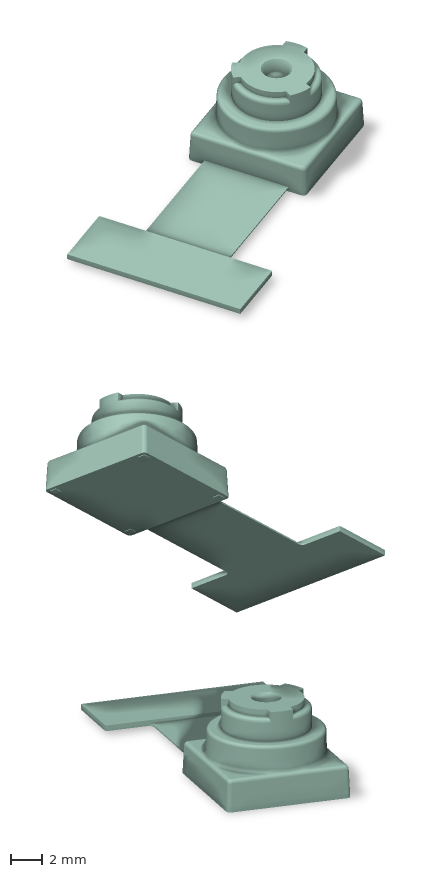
import cadquery as cq
import math


total_length = 21.5
total_height = 6.02
square_side = 8.47
corner_radius = 0.28

selection_margin = 0.02

foot_height = 0.05
foot_width = 0.52
foot_centre = 3.72
base_thickness = 0.24

flex_bottom = foot_height + base_thickness
flex_thickness = 0.1
flex_top = flex_bottom + flex_thickness
ribbon_width = 6.06
ribbon_fillet = 0.35
tail_width = 12.5
tail_length = 4.5
stiffener_thickness = 0.28
tail_end = square_side / 2 - total_length
tail_start = tail_end + tail_length
tail_centre = (tail_end + tail_start) / 2

housing_draft = 2.5
shoulder_height = 2.21
shoulder_fillet = 0.25
collar_bottom_radius = 3.91
collar_top_radius = 3.85
collar_height = 4.02
collar_top_fillet = 0.24
collar_base_fillet = 0.25

barrel_radius = 2.92
barrel_fillet = 0.25
notch_floor = 5.55
notch_inner_radius = 2.45
tab_width = 1.55
tab_count = 3
aperture_top_radius = 1.0
aperture_bottom_radius = 0.57
aperture_depth = 0.65
dome_height = 0.17
dome_radius = (aperture_bottom_radius**2 + dome_height**2) / (2 * dome_height)


def rounded_square(thickness, bottom):
    """Square plate with rounded corners, as large as the foot of the housing."""
    plate = cq.Workplane("XY").workplane(offset=bottom).rect(square_side, square_side)
    return plate.extrude(thickness).edges("|Z").fillet(corner_radius)


def make_base():
    """Plate under the flexible circuit, standing on four small feet."""
    feet = (
        cq.Workplane("XY")
        .rect(2 * foot_centre, 2 * foot_centre, forConstruction=True)
        .vertices()
        .rect(foot_width, foot_width)
        .extrude(foot_height)
    )
    return rounded_square(base_thickness, foot_height).union(feet)


def make_flex():
    """Thin circuit: square head, narrow ribbon and wide tail."""
    layer = cq.Workplane("XY").workplane(offset=flex_bottom)
    tail = layer.center(0, tail_centre).rect(tail_width, tail_length).extrude(flex_thickness)
    ribbon = layer.center(0, tail_start / 2).rect(ribbon_width, -tail_start).extrude(flex_thickness)
    strip = tail.union(ribbon)
    reach = ribbon_width / 2 + selection_margin
    inner_corners = cq.selectors.BoxSelector(
        (-reach, tail_start - selection_margin, flex_bottom),
        (reach, tail_start + selection_margin, flex_top),
    )
    strip = strip.edges("|Z").edges(inner_corners).fillet(ribbon_fillet)
    return strip.union(rounded_square(flex_thickness, flex_bottom))


def make_stiffener():
    """Plate on top of the tail of the circuit."""
    layer = cq.Workplane("XY").workplane(offset=flex_top)
    return layer.center(0, tail_centre).rect(tail_width, tail_length).extrude(stiffener_thickness)


def make_housing():
    """Drafted square box with a slightly conical collar blended onto it."""
    box = (
        cq.Workplane("XY")
        .workplane(offset=flex_top)
        .rect(square_side, square_side)
        .extrude(shoulder_height - flex_top, taper=housing_draft)
        .edges("not(|X or |Y)")
        .fillet(corner_radius)
        .faces(">Z")
        .edges()
        .fillet(shoulder_fillet)
    )
    root_height = (flex_top + shoulder_height) / 2
    collar_outline = [
        (0, root_height),
        (collar_bottom_radius, root_height),
        (collar_bottom_radius, shoulder_height),
        (collar_top_radius, collar_height),
        (0, collar_height),
    ]
    collar = cq.Workplane("XZ").polyline(collar_outline).close().revolve(360, (0, 0), (0, 1))
    collar = collar.faces(">Z").edges().fillet(collar_top_fillet)
    blank = box.union(collar)
    reach = collar_bottom_radius
    around_joint = cq.selectors.BoxSelector(
        (-reach, -reach, shoulder_height - selection_margin),
        (reach, reach, shoulder_height + selection_margin),
    )
    return blank.edges(around_joint).edges("%CIRCLE").fillet(collar_base_fillet)


def make_barrel():
    """Lens barrel with full-height tabs between rounded notches and a conical aperture over a domed lens."""
    height = total_height - collar_height
    layer = cq.Workplane("XY").workplane(offset=collar_height)
    full = layer.circle(barrel_radius).extrude(height)
    ring = layer.circle(barrel_radius).extrude(notch_floor - collar_height)
    ring = ring.faces(">Z").edges().fillet(barrel_fillet)
    core = layer.circle(notch_inner_radius).extrude(height)
    notches = full.cut(ring).cut(core)
    tab = layer.center(0, barrel_radius).rect(tab_width, 2 * barrel_radius).extrude(height)
    for index in range(tab_count):
        notches = notches.cut(tab.rotate((0, 0, 0), (0, 0, 1), index * 360 / tab_count))
    barrel = full.cut(notches)
    floor = total_height - aperture_depth
    dome_centre = floor + dome_height - dome_radius
    mid_angle = math.asin(aperture_bottom_radius / dome_radius) / 2
    aperture = (
        cq.Workplane("XZ")
        .moveTo(0, floor + dome_height)
        .threePointArc(
            (dome_radius * math.sin(mid_angle), dome_centre + dome_radius * math.cos(mid_angle)),
            (aperture_bottom_radius, floor),
        )
        .lineTo(aperture_top_radius, total_height)
        .lineTo(0, total_height)
        .close()
        .revolve(360, (0, 0), (0, 1))
    )
    return barrel.cut(aperture)


base = make_base()
flex = make_flex()
stiffener = make_stiffener()
housing = make_housing()
barrel = make_barrel()

result = cq.Compound.makeCompound(
    [base.val(), flex.val(), stiffener.val(), housing.val(), barrel.val()]
)